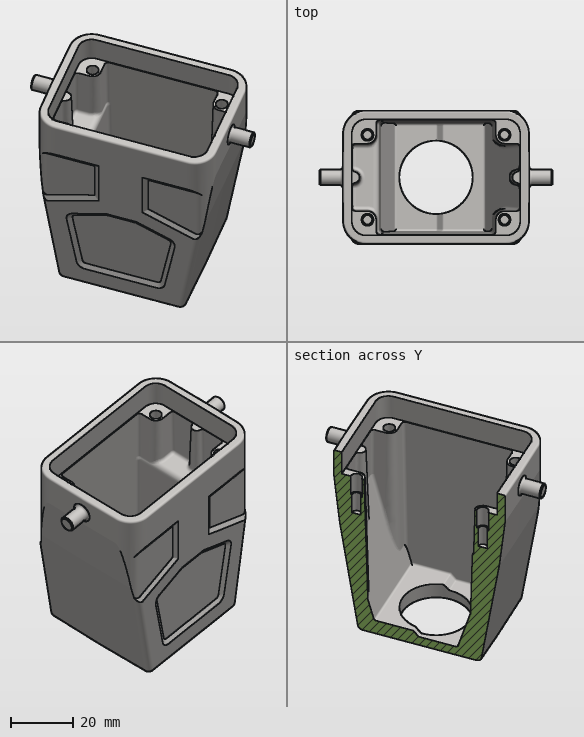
import cadquery as cq
import math

height = 72.0
half_depth = 21.49
half_span = 37.5
mould_draft = 0.5
clearance = 0.75

rim_half_width = 30.1
taper_start_z = 61.05
kink_z = 42.3
kink_half_width = 28.05
base_half_width = 21.5
lower_edge_radius = 2.0
corner_radius = 7.5
rim_edge_radius = 0.75
side_flat_half_length = half_depth - corner_radius
corner_half_width = rim_half_width - side_flat_half_length * math.tan(math.radians(mould_draft))

recess_depth = 1.0
recess_wall_angle = 60.0
ledge_angle = 20.0
ledge_slope = math.tan(math.radians(ledge_angle))

grip_inner_x = 7.4
grip_top_z = 59.1
grip_ledge_z = 42.3
grip_blend_radius = 3.0
grip_edge_radius = 0.75
grip_cut_depth = 3.0
grip_cut_x = 45.0

label_top_z = 37.0
label_top_half_width = 5.25
label_shoulder_x = 18.9
label_bottom_z = 7.8
label_bottom_half_width = 14.6
label_corner_radius = 3.0

pin_z = 65.8
pin_radius = 2.55
pin_root_radius = 0.8
pin_tip_chamfer = 0.4

opening_half_width = 27.1
opening_half_depth = 18.7
opening_corner_radius = 4.5
boss_top_z = 63.0
cavity_half_width = 27.0
cavity_half_depth = 18.45
cavity_draft = 1.1
floor_z = 3.75
floor_step_x = 0.3
floor_step_run = 1.95
floor_step_rise = 1.95
floor_left_x = 13.2
floor_right_x = 15.75
floor_radius = 0.75
inner_kink_z = 45.0
shelf_z = 45.0
shelf_back_x = 26.85
shelf_edge_x = 18.4
shelf_face_x = 17.7
shelf_foot_z = 19.1
shelf_edge_radius = 2.0

boss_x = 22.05
boss_y = 13.65
boss_radius = 2.8
boss_draft = 1.5
screw_hole_radius = 1.5
screw_hole_depth = 15.0
screw_mouth_radius = 1.95
screw_mouth_depth = 7.5
rib_x = 26.4
rib_top_radius = 1.8
rib_draft = 2.0
foot_radius = 1.2

cable_hole_radius = 11.8


def four_ways(shape):
    """The shape with its mirror images across X = 0 and Y = 0."""
    pair = shape.union(shape.mirror("YZ"))
    return pair.union(pair.mirror("XZ"))


def mirrored_points(points):
    """Complete a right-hand outline with its mirror image."""
    return points + [(-x, z) for x, z in reversed(points)]


def edges_in_box(shape, corner, opposite_corner):
    """Edges whose centres lie in the box between two corners."""
    return shape.edges(cq.selectors.BoxSelector(corner, opposite_corner))


def upright_box(half_width, half_length, bottom, top):
    block = cq.Workplane("XY").workplane(offset=bottom)
    return block.rect(2 * half_width, 2 * half_length).extrude(top - bottom)


def upright_prism(half_width, half_length, radius, bottom, top):
    return upright_box(half_width, half_length, bottom, top).edges("|Z").fillet(radius)


def front_face_plane():
    return cq.Workplane("XZ", origin=(0, -half_depth, 0))


def make_body():
    """Solid hood made of two drafted halves meeting at Y = 0."""
    blank_top = height + corner_radius
    outline = mirrored_points([
        (base_half_width, 0),
        (kink_half_width, kink_z),
        (rim_half_width, taper_start_z),
        (rim_half_width, blank_top),
    ])
    half = cq.Workplane("XZ").polyline(outline).close().extrude(half_depth, taper=mould_draft)
    base_edges = edges_in_box(
        half,
        (-rim_half_width, -half_depth + clearance, -clearance),
        (rim_half_width, -clearance, clearance),
    )
    half = half.faces("<Y").edges("not >Z").add(base_edges).fillet(lower_edge_radius)
    body = half.union(half.mirror("XZ"))
    return body.cut(upright_box(half_span, half_depth + clearance, height, blank_top))


def make_corner_cut():
    """Everything outside the large vertical corner radius, above the ledges."""
    top = height + clearance
    outside = upright_box(rim_half_width + clearance, half_depth + clearance, kink_z + 2 * clearance, top)
    prism = upright_prism(corner_half_width, half_depth, corner_radius, 0, top)
    middle = upright_box(half_span, side_flat_half_length, 0, top)
    return outside.cut(prism).cut(middle)


def make_grip_core():
    """Material left inside the grip recesses: flat floors blending into the corner arcs."""
    floor_y = half_depth - recess_depth
    corner_x = corner_half_width - corner_radius
    corner_y = side_flat_half_length
    centre_gap = corner_radius - grip_blend_radius
    blend_y = floor_y - grip_blend_radius
    meeting_angle = math.asin((blend_y - corner_y) / centre_gap)
    blend_x = corner_x + centre_gap * math.cos(meeting_angle)

    def on_corner(angle):
        return corner_x + corner_radius * math.cos(angle), corner_y + corner_radius * math.sin(angle)

    def on_blend(angle):
        return blend_x + grip_blend_radius * math.cos(angle), blend_y + grip_blend_radius * math.sin(angle)

    quarter = (
        cq.Workplane("XY")
        .moveTo(0, 0)
        .lineTo(rim_half_width, 0)
        .lineTo(rim_half_width, corner_y)
        .lineTo(corner_half_width, corner_y)
        .threePointArc(on_corner(meeting_angle / 2), on_corner(meeting_angle))
        .threePointArc(on_blend((meeting_angle + math.pi / 2) / 2), (blend_x, floor_y))
        .lineTo(0, floor_y)
        .close()
        .extrude(height)
    )
    return four_ways(quarter)


def make_grip_cut():
    """Sloped-wall recess at one front corner, running out past the side wall."""
    outer_ledge_z = grip_ledge_z - ledge_slope * (grip_cut_x - grip_inner_x)
    outline = [
        (grip_inner_x, grip_top_z),
        (grip_cut_x, grip_top_z),
        (grip_cut_x, outer_ledge_z),
        (grip_inner_x, grip_ledge_z),
    ]
    cut = front_face_plane().polyline(outline).close()
    cut = cut.extrude(-grip_cut_depth, taper=recess_wall_angle)
    wall_run = grip_cut_depth * math.tan(math.radians(recess_wall_angle))
    inner_edges = edges_in_box(
        cut,
        (grip_inner_x, -half_depth, grip_ledge_z),
        (grip_inner_x + wall_run, half_depth, grip_top_z),
    )
    return cut.newObject(inner_edges.edges("not #Y").vals()).fillet(grip_edge_radius)


def make_label_cut():
    """Five-sided recess with sloped walls in the front face."""
    shoulder_z = label_top_z - ledge_slope * (label_shoulder_x - label_top_half_width)
    outline = mirrored_points([
        (label_bottom_half_width, label_bottom_z),
        (label_shoulder_x, shoulder_z),
        (label_top_half_width, label_top_z),
    ])
    blank = front_face_plane().polyline(outline).close().extrude(-recess_depth)
    blank = blank.edges("|Y").edges("<X or >X or <Z").fillet(label_corner_radius)
    rounded = blank.faces("<Y").wires().toPending().workplane(origin=(0, -half_depth, 0))
    return rounded.extrude(-recess_depth, taper=recess_wall_angle, combine=False)


def make_pins():
    """Pair of locking pins with rounded roots and chamfered tips."""
    buried_x = opening_half_width + clearance
    root_radius = pin_radius + pin_root_radius
    pin = (
        cq.Workplane("XY")
        .moveTo(buried_x, 0)
        .lineTo(half_span, 0)
        .lineTo(half_span, pin_radius - pin_tip_chamfer)
        .lineTo(half_span - pin_tip_chamfer, pin_radius)
        .lineTo(rim_half_width + pin_root_radius, pin_radius)
        .radiusArc((rim_half_width, root_radius), pin_root_radius)
        .lineTo(buried_x, root_radius)
        .close()
        .revolve(360, (0, 0, 0), (1, 0, 0))
        .translate((0, 0, pin_z))
    )
    return pin.union(pin.mirror("YZ"))


def make_boss():
    """Corner block with one rounded inner corner, widening downward."""
    inner_x = boss_x - boss_radius
    inner_y = boss_y - boss_radius
    return (
        cq.Workplane("XY", origin=(0, 0, boss_top_z))
        .moveTo(boss_x, inner_y)
        .lineTo(half_span, inner_y)
        .lineTo(half_span, half_span)
        .lineTo(inner_x, half_span)
        .lineTo(inner_x, boss_y)
        .radiusArc((boss_x, inner_y), -boss_radius)
        .close()
        .extrude(-boss_top_z, taper=-boss_draft)
    )


def make_ribs():
    """Round ribs on the left and right inner walls, widening downward."""
    rib = cq.Workplane("XY", origin=(rib_x, 0, boss_top_z)).circle(rib_top_radius)
    rib = rib.extrude(-boss_top_z, taper=-rib_draft)
    return rib.union(rib.mirror("YZ"))


def make_lower_cavity():
    """Room below the boss tops: stepped floor, shelf on the left, leaning wall on the right."""
    upper_floor_z = floor_z + floor_step_rise
    section = [
        (-cavity_half_width, boss_top_z),
        (-shelf_back_x, shelf_z),
        (-shelf_edge_x, shelf_z),
        (-shelf_face_x, shelf_foot_z),
        (-floor_left_x, floor_z),
        (floor_step_x, floor_z),
        (floor_step_x + floor_step_run, upper_floor_z),
        (floor_right_x, upper_floor_z),
        (shelf_back_x, inner_kink_z),
        (cavity_half_width, boss_top_z),
    ]
    room = cq.Workplane("XZ").polyline(section).close().extrude(half_depth, both=True)
    shelf_edge = cq.selectors.NearestToPointSelector((-shelf_edge_x, 0, shelf_z))
    room = room.edges(shelf_edge).fillet(shelf_edge_radius)
    end_walls = (
        cq.Workplane("XY", origin=(0, 0, boss_top_z))
        .rect(2 * half_span, 2 * cavity_half_depth)
        .extrude(-boss_top_z, taper=cavity_draft)
    )
    room = room.intersect(end_walls)
    floor_edges = edges_in_box(
        room,
        (-floor_left_x - clearance, -half_depth, 0),
        (floor_right_x + clearance, half_depth, upper_floor_z + clearance),
    )
    room = floor_edges.fillet(floor_radius)
    room = room.cut(four_ways(make_boss())).cut(make_ribs())
    return blend_feet(room)


def blend_feet(room):
    """Round the inner corners where bosses, ribs, shelf and walls meet."""
    low_z = shelf_foot_z
    high_z = boss_top_z - clearance
    above_shelf_z = shelf_z + foot_radius
    boss_inner_x = boss_x - boss_radius
    boss_side_near = boss_y - boss_radius - foot_radius
    boss_side_far = boss_y - boss_radius + foot_radius
    wall_band = foot_radius

    picked = edges_in_box(
        room,
        (-half_span, -boss_y, shelf_z - foot_radius),
        (-boss_inner_x, boss_y, above_shelf_z),
    )
    for side in (-1, 1):
        picked = picked.add(edges_in_box(
            room,
            (-half_span, side * cavity_half_depth, low_z),
            (half_span, side * (cavity_half_depth - wall_band), high_z),
        ).edges("not |X"))
        picked = picked.add(edges_in_box(
            room,
            (boss_x + clearance, side * boss_side_near, low_z),
            (cavity_half_width, side * boss_side_far, high_z),
        ))
        picked = picked.add(edges_in_box(
            room,
            (-cavity_half_width, side * boss_side_near, above_shelf_z),
            (-boss_x - clearance, side * boss_side_far, high_z),
        ))
        picked = picked.add(edges_in_box(
            room,
            (side * shelf_back_x, -rib_top_radius - foot_radius, above_shelf_z),
            (side * cavity_half_width, rib_top_radius + foot_radius, high_z),
        ).edges("not |Y"))
    return picked.fillet(foot_radius)


def make_cavity():
    upper_room = upright_prism(
        opening_half_width, opening_half_depth, opening_corner_radius, boss_top_z, height
    )
    return upper_room.union(make_lower_cavity())


def make_screw_hole():
    """Stepped blind hole in the top of one boss."""
    top = cq.Workplane("XY", origin=(boss_x, boss_y, boss_top_z))
    hole = top.circle(screw_hole_radius).extrude(-screw_hole_depth)
    return hole.union(top.circle(screw_mouth_radius).extrude(-screw_mouth_depth, combine=False))


body = make_body()
body = body.cut(make_corner_cut())
body = body.cut(four_ways(make_grip_cut()).cut(make_grip_core()))
label_cut = make_label_cut()
body = body.cut(label_cut).cut(label_cut.mirror("XZ"))
body = body.faces(">Z").edges().fillet(rim_edge_radius)
body = body.union(make_pins())

body = body.cut(make_cavity())
body = body.cut(four_ways(make_screw_hole()))
result = body.cut(cq.Workplane("XY").circle(cable_hole_radius).extrude(height))